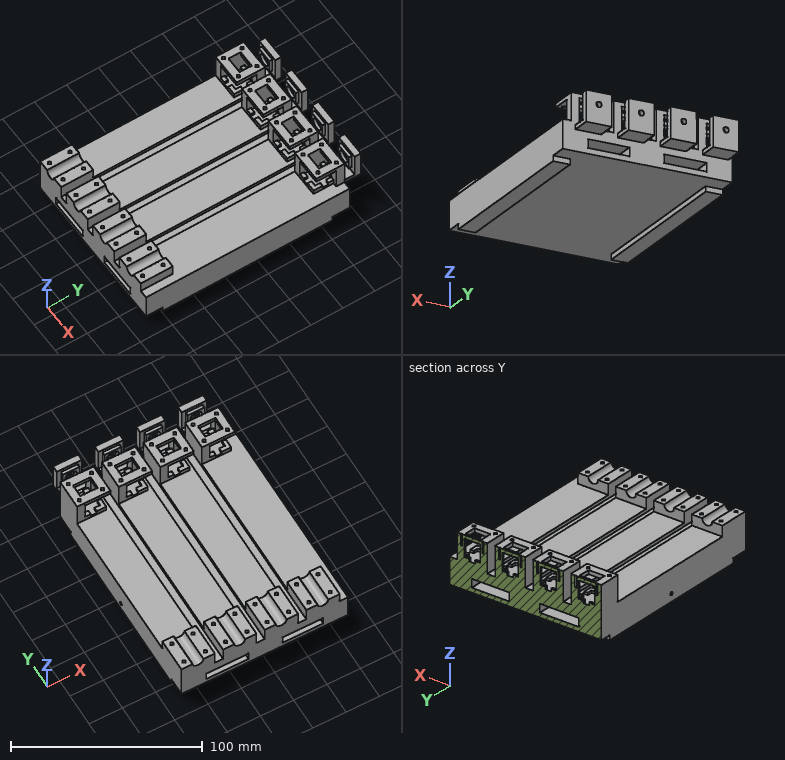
import cadquery as cq

body_width = 100.0
body_length = 127.5
total_length = 139.5
total_height = 36.0
rail_height = 3.0
floor_top = 20.0

lane_count = 4
lane_pitch = 25.0
lane_width = 20.1
lane_middle = lane_width / 2
channel_width = lane_pitch - lane_width
channel_bottom = 17.9
axis_height = 26.5

rail_width = 10.0
rail_start = 10.6
rail_length = 106.0

window_bottom = 6.3
window_height = 5.0
window_spans = ((15.0, 25.2), (60.7, 24.4))

side_hole_diameter = 1.8
side_hole_height = 5.0
side_hole_depth = 7.0

saddle_length = 20.1
groove_diameter = 6.4
saddle_screw_spacing = 12.8

tower_length = 17.7
tower_front = body_length - tower_length
tower_middle = body_length - tower_length / 2
plate_thickness = 2.5
plate_bottom = total_height - plate_thickness
opening_width = 10.5
opening_length = 7.5
wall = (lane_width - opening_width) / 2
opening_start = 5.0
post_length = tower_length - opening_start - opening_length
tower_screw_spacing_x = 14.0
tower_screw_spacing_y = 11.6

socket_size = 15.0
socket_rim = 2.5
socket_top = 22.9
socket_floor = 21.3
notch_width = 3.6

screw_diameter = 1.8
screw_depth = 7.0

bracket_width = 15.2
bracket_bottom = 15.3
arm_thickness = 2.5
upright_thickness = 4.0
upright_front = total_length - upright_thickness
pad_thickness = 2.0
pad_width = 10.0
pad_height = 9.6
pad_bore_diameter = 7.0
shaft_hole_diameter = 3.0


def box(x, y, z, width, length, height):
    """Box given by its lowest corner and its sizes along X, Y and Z."""
    return cq.Workplane("XY").box(width, length, height, centered=False).translate((x, y, z))


def rod(x, y, z, diameter, length):
    """Cylinder along +Y that starts at the given point."""
    return cq.Workplane(cq.Solid.makeCylinder(diameter / 2, length, cq.Vector(x, y, z), cq.Vector(0, 1, 0)))


def screw_holes(x, y, top, spacing_x, spacing_y):
    """Four blind screw holes on a rectangle centred at x, y."""
    return (
        cq.Workplane("XY", origin=(x, y, top))
        .rect(spacing_x, spacing_y, forConstruction=True)
        .vertices()
        .circle(screw_diameter / 2)
        .extrude(-screw_depth)
    )


def base():
    """Body block on two side rails, with windows and a side hole."""
    block = box(0, 0, rail_height, body_width, body_length, floor_top - rail_height)
    for x in (0, body_width - rail_width):
        block = block.union(box(x, rail_start, 0, rail_width, rail_length, rail_height))
    for x, width in window_spans:
        block = block.cut(box(x, 0, window_bottom, width, body_length, window_height))
    side_hole = (
        cq.Workplane("YZ", origin=(0, body_length / 2, side_hole_height))
        .circle(side_hole_diameter / 2)
        .extrude(side_hole_depth)
    )
    return block.cut(side_hole)


def saddle(x):
    """Block with a half-round groove along Y and four screw holes."""
    middle = x + lane_middle
    block = box(x, 0, floor_top, lane_width, saddle_length, axis_height - floor_top)
    block = block.cut(rod(middle, 0, axis_height, groove_diameter, saddle_length))
    return block.cut(
        screw_holes(middle, saddle_length / 2, axis_height, saddle_screw_spacing, saddle_screw_spacing)
    )


def socket(x):
    """Low block beside the left wall, with a shallow recess and a notch in the middle of each free side."""
    left = x + wall
    right = x + lane_middle + socket_size / 2
    width = right - left
    recess_length = socket_size - 2 * socket_rim
    recess_height = socket_top - socket_floor
    notch_x = x + lane_middle - notch_width / 2
    notch_y = tower_front + (socket_size - notch_width) / 2
    block = box(left, tower_front, floor_top, width, socket_size, socket_top - floor_top)
    recess = box(left, tower_front + socket_rim, socket_floor, opening_width, recess_length, recess_height)
    lengthwise_notch = box(notch_x, tower_front, socket_floor, notch_width, socket_size, recess_height)
    side_notch = box(left, notch_y, socket_floor, width, notch_width, recess_height)
    return block.cut(recess).cut(lengthwise_notch).cut(side_notch)


def tower(x):
    """Top plate carried by a left wall and a rear right post, with a socket below."""
    post_x = x + wall + opening_width
    height = total_height - floor_top
    frame = box(x, tower_front, plate_bottom, lane_width, tower_length, plate_thickness)
    frame = frame.union(box(x, tower_front, floor_top, wall, tower_length, height))
    frame = frame.union(box(post_x, body_length - post_length, floor_top,
                            x + lane_width - post_x, post_length, height))
    frame = frame.cut(box(x + wall, tower_front + opening_start, plate_bottom,
                          opening_width, opening_length, plate_thickness))
    frame = frame.cut(screw_holes(x + lane_middle, tower_middle, total_height,
                                  tower_screw_spacing_x, tower_screw_spacing_y))
    return frame.union(socket(x))


def bracket(x):
    """L-shaped bracket with a bored pad facing the tower."""
    middle = x + lane_middle
    left = middle - bracket_width / 2
    pad_front = upright_front - pad_thickness
    arm = box(left, body_length, bracket_bottom, bracket_width, total_length - body_length, arm_thickness)
    upright = box(left, upright_front, bracket_bottom, bracket_width,
                  upright_thickness, plate_bottom - bracket_bottom)
    pad = box(middle - pad_width / 2, pad_front, axis_height - pad_height / 2,
              pad_width, pad_thickness, pad_height)
    pad = pad.cut(rod(middle, pad_front, axis_height, pad_bore_diameter, pad_thickness))
    upright = upright.cut(rod(middle, upright_front, axis_height, shaft_hole_diameter, upright_thickness))
    return arm.union(upright).union(pad)


result = base()
for lane in range(lane_count):
    lane_x = lane * lane_pitch
    result = result.union(saddle(lane_x)).union(tower(lane_x)).union(bracket(lane_x))
for lane in range(1, lane_count):
    channel_x = lane * lane_pitch - channel_width
    channel_depth = floor_top - channel_bottom
    result = result.cut(box(channel_x, 0, channel_bottom, channel_width, body_length, channel_depth))